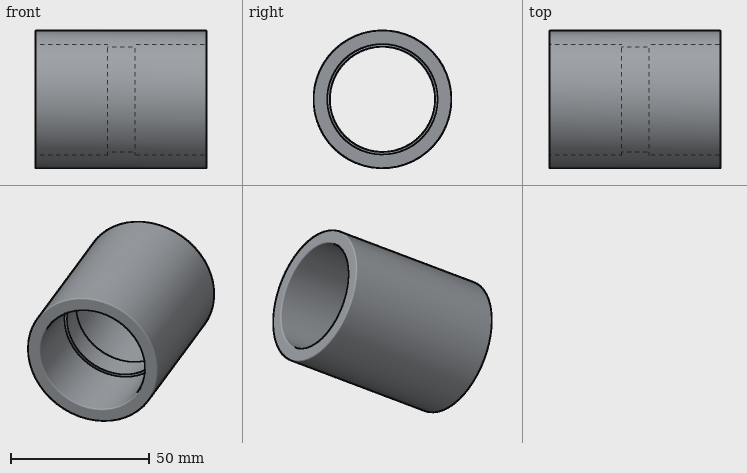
import cadquery as cq

length = 62.0
outer_diameter = 50.0
bore_diameter = 40.0
lip_diameter = 38.0
edge_radius = 0.5
lip_width = 10.0
lip_start = (length - lip_width) / 2


def cylinder(diameter, start, span):
    """Solid cylinder around the X axis, beginning at x = start."""
    return cq.Workplane("YZ", origin=(start, 0, 0)).circle(diameter / 2).extrude(span)


tube = cylinder(outer_diameter, 0, length).cut(cylinder(bore_diameter, 0, length))
tube = tube.faces("<X or >X").edges().fillet(edge_radius)

lip_root_diameter = (outer_diameter + bore_diameter) / 2
lip = cylinder(lip_root_diameter, lip_start, lip_width).cut(cylinder(lip_diameter, lip_start, lip_width))

result = tube.union(lip)